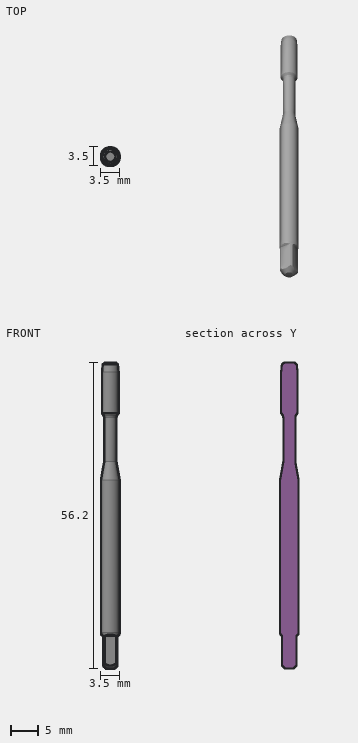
import cadquery as cq

total_length = 56.2
shank_diameter = 3.5

flat_spacing = 2.7
flat_length = 6.0
flat_count = 4
stem_diameter = 3.36
stem_length = 6.25
tip_diameter = 1.5
tip_height = 0.95

shank_chamfer_height = 0.4
shank_bottom = stem_length + shank_chamfer_height
shank_top = 34.6

neck_diameter = 2.29
neck_bottom = 38.0
neck_top = 46.15

head_diameter = 3.1
runout_diameter = 2.5
runout_height = 0.35
runout_top = neck_top + runout_height
head_chamfer_height = 0.45
head_bottom = runout_top + head_chamfer_height

lead_length = 1.75
lead_diameter = 2.83
nose_diameter = 1.9
nose_height = 0.4
lead_bottom = total_length - lead_length
nose_bottom = total_length - nose_height


def make_turned_body():
    """Full turned shape about Z, from the tip of the stem to the nose."""
    sections = [
        (tip_diameter, 0),
        (stem_diameter, tip_height),
        (stem_diameter, stem_length),
        (shank_diameter, shank_bottom),
        (shank_diameter, shank_top),
        (neck_diameter, neck_bottom),
        (neck_diameter, neck_top),
        (runout_diameter, runout_top),
        (head_diameter, head_bottom),
        (head_diameter, lead_bottom),
        (lead_diameter, nose_bottom),
        (nose_diameter, total_length),
    ]
    outline = [(diameter / 2, height) for diameter, height in sections]
    profile = [(0, 0)] + outline + [(0, total_length)]
    axis_start = (0, 0)
    axis_end = (0, 1)
    return cq.Workplane("XZ").polyline(profile).close().revolve(360, axis_start, axis_end)


def make_flat_cutter():
    """Material removed beside the +X flat, with a 45 degree face where the flat ends."""
    flat_x = flat_spacing / 2
    outer_x = shank_diameter / 2
    slope_top = flat_length + (outer_x - flat_x)
    profile = [
        (flat_x, 0),
        (flat_x, flat_length),
        (outer_x, slope_top),
        (outer_x, 0),
    ]
    return cq.Workplane("XZ").polyline(profile).close().extrude(stem_diameter / 2, both=True)


def cut_square_drive(body):
    """Mill equally spaced flats around the stem."""
    cutter = make_flat_cutter()
    for index in range(flat_count):
        angle = index * 360 / flat_count
        body = body.cut(cutter.rotate((0, 0, 0), (0, 0, 1), angle))
    return body


result = cut_square_drive(make_turned_body())